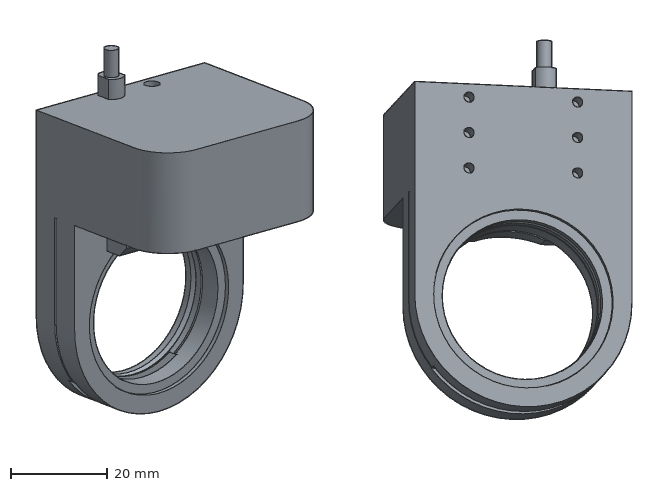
import cadquery as cq

width = 46.0
plate_thickness = 12.3
end_radius = width / 2
bore_height = end_radius

block_length = 40.5
block_bottom = 46.0
block_top = 68.1
block_corner_radius = 9.2

bore_radius = 16.95
counterbore_radius = 19.0
counterbore_depth = 1.0
groove_centre = 3.45
groove_depth = 0.8

slit_width = 0.5
slot_start = 4.6
slot_width = 2.2
slot_top = 8.9

lug_length = 6.1
lug_height = 7.6
lug_width = 28.25
lug_chamfer = 2.2

screw_hole_diameter = 2.1
screw_hole_depth = 3.9
screw_column_spacing = width / 2
screw_row_pitch = 7.5
screw_rows = 3
top_row_drop = 2.8

top_feature_x = 3.0
drill_y = 6.05
drill_diameter = 3.4
drill_depth = 10.2
drill_point_depth = 0.95
pin_y = -5.0
pin_diameter = 3.15
pin_top = 78.5
collar_diameter = 5.6
collar_across_flats = 4.4
collar_height = 4.4


def box_between(x_start, x_end, y_width, z_start, z_end):
    """Box centred on Y = 0 between the given X and Z limits."""
    box = cq.Workplane("XY").box(x_end - x_start, y_width, z_end - z_start, centered=(False, True, False))
    return box.translate((x_start, 0, z_start))


def bore_cylinder(x_start, x_end, radius):
    """Cylinder on the bore axis between two X positions."""
    profile = cq.Workplane("YZ", origin=(x_start, 0, bore_height)).circle(radius)
    return profile.extrude(x_end - x_start)


def make_plate():
    round_end = bore_cylinder(0, plate_thickness, end_radius)
    return round_end.union(box_between(0, plate_thickness, width, bore_height, block_top))


def make_block():
    block = box_between(0, block_length, width, block_bottom, block_top)
    return block.edges("|Z and >X").fillet(block_corner_radius)


def make_lug():
    lug_end = plate_thickness + lug_length
    lug = box_between(plate_thickness, lug_end, lug_width, block_bottom - lug_height, block_bottom)
    return lug.edges(">X and <Z").chamfer(lug_chamfer)


def make_bore():
    """Bore through plate and lug, with a counterbore on each plate face and one V groove."""
    bore = bore_cylinder(0, plate_thickness + lug_length, bore_radius)
    bore = bore.union(bore_cylinder(0, counterbore_depth, counterbore_radius))
    rear_counterbore_floor = plate_thickness - counterbore_depth
    bore = bore.union(bore_cylinder(rear_counterbore_floor, plate_thickness, counterbore_radius))
    groove = (
        cq.Workplane("XY", origin=(0, 0, bore_height))
        .moveTo(groove_centre - groove_depth, 0)
        .lineTo(groove_centre - groove_depth, bore_radius)
        .lineTo(groove_centre, bore_radius + groove_depth)
        .lineTo(groove_centre + groove_depth, bore_radius)
        .lineTo(groove_centre + groove_depth, 0)
        .close()
        .revolve(360, (0, 0, 0), (1, 0, 0))
    )
    return bore.union(groove)


def make_slits():
    slit_start = (plate_thickness - slit_width) / 2
    slit = box_between(slit_start, slit_start + slit_width, width, 0, block_bottom)
    return slit.union(box_between(slot_start, slot_start + slot_width, width, 0, slot_top))


def make_screw_holes():
    row_middle = block_top - top_row_drop - screw_row_pitch * (screw_rows - 1) / 2
    return (
        cq.Workplane("YZ", origin=(0, 0, row_middle))
        .rarray(screw_column_spacing, screw_row_pitch, 2, screw_rows)
        .circle(screw_hole_diameter / 2)
        .extrude(screw_hole_depth)
    )


def make_drilled_hole():
    """Blind hole in the top face with a conical drill point."""
    radius = drill_diameter / 2
    profile = (
        cq.Workplane("XZ", origin=(top_feature_x, drill_y, block_top))
        .lineTo(radius, 0)
        .lineTo(radius, -drill_depth)
        .lineTo(0, -drill_depth - drill_point_depth)
        .close()
    )
    return profile.revolve(360, (0, 0, 0), (0, 1, 0))


def make_pin():
    """Round pin on a collar that has two flats facing +Y and -Y."""
    base = cq.Workplane("XY", origin=(top_feature_x, pin_y, block_top))
    collar = base.circle(collar_diameter / 2).extrude(collar_height)
    flats = base.rect(collar_diameter, collar_across_flats).extrude(collar_height)
    pin = base.circle(pin_diameter / 2).extrude(pin_top - block_top)
    return collar.intersect(flats).union(pin)


body = make_plate().union(make_block()).union(make_lug())
body = body.cut(make_bore()).cut(make_slits())
body = body.cut(make_screw_holes()).cut(make_drilled_hole())
result = body.union(make_pin())